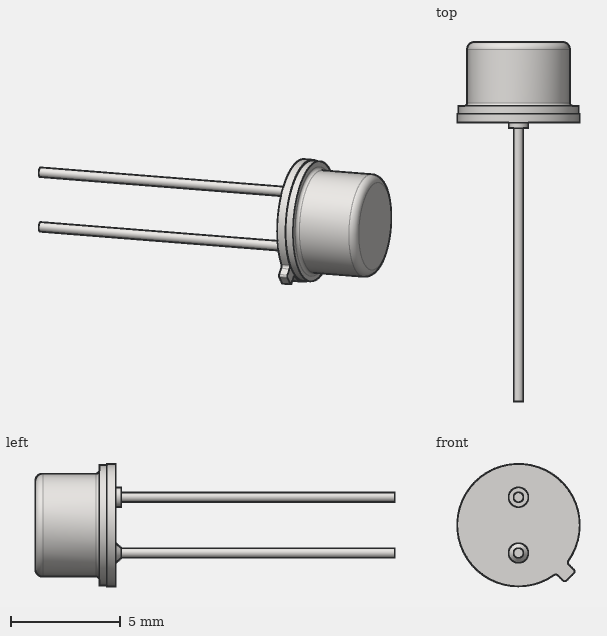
import cadquery as cq
import math


base_diameter = 5.59
base_thickness = 0.41

tab_angle = -45.0
tab_width = 0.7
tab_reach = 3.33
tab_root_fillet = 0.14
tab_corner_fillet = 0.1

total_height = 3.68
cap_flange_diameter = 5.5
cap_flange_thickness = 0.35
cap_diameter = 4.7
cap_top_fillet = 0.35
cap_foot_fillet = 0.15

lead_pitch = 2.54
lead_diameter = 0.45
lead_length = 12.7
collar_diameter = 0.9
collar_height = 0.25


def axial_plane(y, z=0.0):
    """Plane normal to the can axis, facing +Y."""
    return cq.Plane(origin=(0, y, z), xDir=(1, 0, 0), normal=(0, 1, 0))


def cylinder(diameter, y_start, y_end, z=0.0):
    return cq.Workplane(axial_plane(y_start, z)).circle(diameter / 2).extrude(y_end - y_start)


def make_base():
    """Base disc with its radial index tab, drawn along +X and then turned into place."""
    base_radius = base_diameter / 2
    tab = (
        cq.Workplane(axial_plane(0))
        .center(tab_reach / 2, 0)
        .rect(tab_reach, tab_width)
        .extrude(base_thickness)
        .edges("|Y and >X")
        .fillet(tab_corner_fillet)
    )
    base = cylinder(base_diameter, 0, base_thickness).union(tab)

    half_width = tab_width / 2
    root_x = math.sqrt(base_radius**2 - half_width**2)
    margin = tab_width / 10
    root_box = cq.selectors.BoxSelector(
        (root_x - margin, -margin, -half_width - margin),
        (root_x + margin, base_thickness + margin, half_width + margin),
    )
    base = base.edges("|Y").edges(root_box).fillet(tab_root_fillet)
    return base.rotate((0, 0, 0), (0, 1, 0), -tab_angle)


def make_cap():
    """Solid of revolution: flange, filleted foot, straight wall and rounded top edge."""
    flange_radius = cap_flange_diameter / 2
    wall_radius = cap_diameter / 2
    flange_top = base_thickness + cap_flange_thickness
    profile = (
        cq.Workplane("XY")
        .moveTo(0, base_thickness)
        .lineTo(flange_radius, base_thickness)
        .lineTo(flange_radius, flange_top)
        .lineTo(wall_radius + cap_foot_fillet, flange_top)
        .radiusArc((wall_radius, flange_top + cap_foot_fillet), cap_foot_fillet)
        .lineTo(wall_radius, total_height - cap_top_fillet)
        .radiusArc((wall_radius - cap_top_fillet, total_height), -cap_top_fillet)
        .lineTo(0, total_height)
        .close()
    )
    return profile.revolve(360, (0, 0, 0), (0, 1, 0))


def make_lead(z):
    return cylinder(lead_diameter, -lead_length, 0, z)


def make_insulator_collar(z):
    return cylinder(collar_diameter, -collar_height, 0, z)


def make_weld_cone(z):
    """Cone narrowing from the base face to the lead diameter."""
    return (
        cq.Workplane(axial_plane(-collar_height, z))
        .circle(lead_diameter / 2)
        .workplane(offset=collar_height)
        .circle(collar_diameter / 2)
        .loft(ruled=True)
    )


upper_lead_z = lead_pitch / 2
lower_lead_z = -lead_pitch / 2

result = make_base().union(make_cap())
for lead_z in (upper_lead_z, lower_lead_z):
    result = result.union(make_lead(lead_z))
result = result.union(make_insulator_collar(upper_lead_z))
result = result.union(make_weld_cone(lower_lead_z))